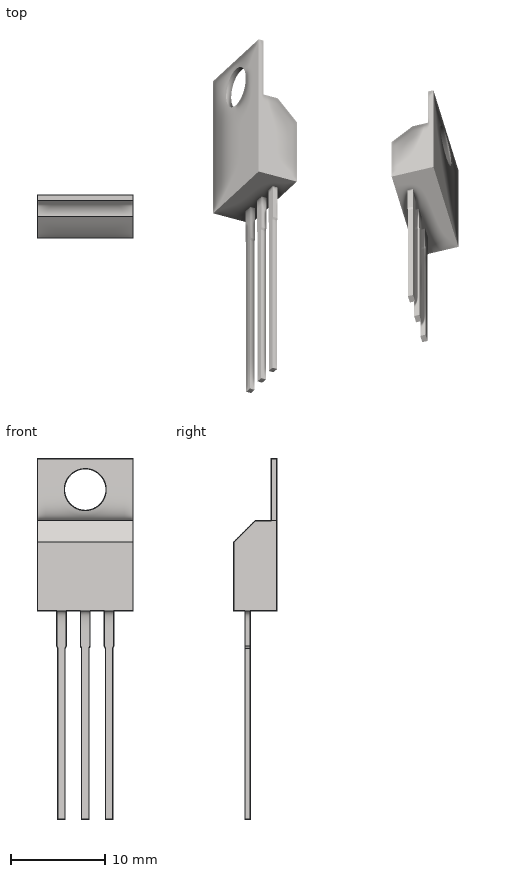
import cadquery as cq

total_height = 38.28
width = 10.2
depth = 4.6

tab_height = 6.6
tab_thickness = 0.6
hole_diameter = 4.4
hole_from_top = tab_height / 2

housing_height = 9.57
bevel_depth = 2.3
bevel_height = 2.3
housing_top = total_height - tab_height
housing_bottom = housing_top - housing_height

lead_count = 3
lead_pitch = 2.53
lead_thickness = 0.57
lead_from_back = 3.1
shoulder_width = 1.05
leg_width = 0.8
shoulder_length = 3.75
taper_length = 0.23


def make_housing():
    """Block with a sloped bevel along its upper front edge."""
    profile = [
        (0, housing_bottom),
        (0, housing_top),
        (bevel_depth - depth, housing_top),
        (-depth, housing_top - bevel_height),
        (-depth, housing_bottom),
    ]
    return cq.Workplane("YZ").polyline(profile).close().extrude(width / 2, both=True)


def make_tab():
    """Flat plate flush with the back of the housing, with a round mounting hole."""
    plate = cq.Workplane("XY").box(width, tab_thickness, tab_height, centered=(True, True, False))
    plate = plate.translate((0, -tab_thickness / 2, housing_top))
    hole = (
        cq.Workplane("XZ")
        .center(0, total_height - hole_from_top)
        .circle(hole_diameter / 2)
        .extrude(tab_thickness)
    )
    return plate.cut(hole)


def make_lead(x):
    """Flat lead centred at x, hanging from the underside of the housing."""
    taper_top = housing_bottom - shoulder_length
    taper_bottom = taper_top - taper_length
    right_edge = [
        (leg_width / 2, 0),
        (leg_width / 2, taper_bottom),
        (shoulder_width / 2, taper_top),
        (shoulder_width / 2, housing_bottom),
    ]
    left_edge = [(-px, pz) for px, pz in reversed(right_edge)]
    lead = (
        cq.Workplane("XZ")
        .polyline(right_edge + left_edge)
        .close()
        .extrude(lead_thickness / 2, both=True)
    )
    return lead.translate((x, -lead_from_back, 0))


housing = make_housing()
tab = make_tab()
first_lead_x = -lead_pitch * (lead_count - 1) / 2
leads = [make_lead(first_lead_x + i * lead_pitch) for i in range(lead_count)]

result = cq.Compound.makeCompound([housing.val(), tab.val(), *[lead.val() for lead in leads]])